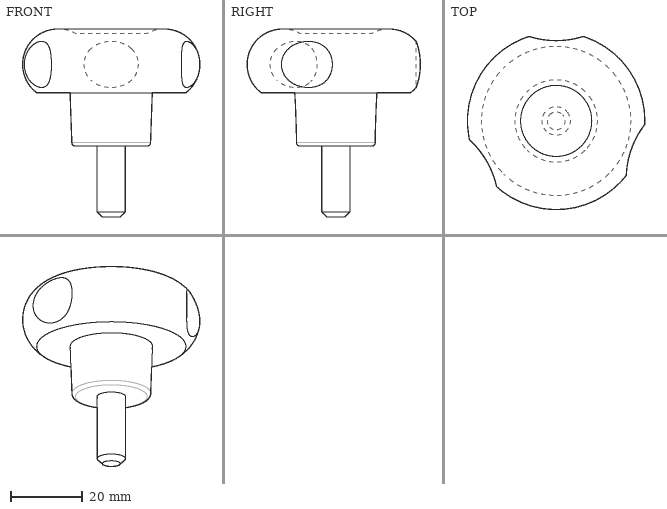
import cadquery as cq
import math

TOTAL_HEIGHT = 53
STUD_LENGTH = 20.0
HUB_LENGTH = 15.0

KNOB_RADIUS = 25.0
RIM_RADIUS = 10.0
DIMPLE_RADIUS = 10.0

HUB_TOP_RADIUS = 11.6
HUB_DRAFT_ANGLE = 2
HUB_FILLET = 1.0

STUD_DIAMETER = 8.0
STUD_CHAMFER = 1.5

SCALLOP_RADIUS = 25.0
SCALLOP_BOTTOM_RADIUS = 22.65
SCALLOP_ANGLES = (-20, 90, 210)

KNOB_BOTTOM_Z = STUD_LENGTH + HUB_LENGTH
RIM_CENTER_RADIUS = KNOB_RADIUS - RIM_RADIUS
RIM_CENTER_Z = TOTAL_HEIGHT - RIM_RADIUS


def rim_rise(radius):
    """Distance of the rim section above or below its centre at a radius from the axis."""
    return math.sqrt(RIM_RADIUS**2 - (radius - RIM_CENTER_RADIUS) ** 2)


def make_knob():
    dimple_z = RIM_CENTER_Z + rim_rise(DIMPLE_RADIUS)
    drop = RIM_CENTER_Z - KNOB_BOTTOM_Z
    bottom_radius = RIM_CENTER_RADIUS + math.sqrt(RIM_RADIUS**2 - drop**2)
    profile = (
        cq.Workplane("XZ")
        .moveTo(0, KNOB_BOTTOM_Z)
        .lineTo(bottom_radius, KNOB_BOTTOM_Z)
        .threePointArc((KNOB_RADIUS, RIM_CENTER_Z), (DIMPLE_RADIUS, dimple_z))
        .lineTo(0, dimple_z)
        .close()
    )
    return profile.revolve(360, (0, 0, 0), (0, 1, 0))


def make_hub():
    hub = (
        cq.Workplane("XY", origin=(0, 0, KNOB_BOTTOM_Z))
        .circle(HUB_TOP_RADIUS)
        .extrude(-HUB_LENGTH, taper=HUB_DRAFT_ANGLE)
    )
    return hub.faces("<Z").edges().fillet(HUB_FILLET)


def make_stud():
    stud = cq.Workplane("XY").circle(STUD_DIAMETER / 2).extrude(STUD_LENGTH)
    return stud.faces("<Z").edges().chamfer(STUD_CHAMFER)


def make_scallop(angle):
    """Upright cylinder whose nearest line to the axis lies at SCALLOP_BOTTOM_RADIUS."""
    distance = SCALLOP_BOTTOM_RADIUS + SCALLOP_RADIUS
    x = distance * math.cos(math.radians(angle))
    y = distance * math.sin(math.radians(angle))
    return cq.Workplane("XY").center(x, y).circle(SCALLOP_RADIUS).extrude(TOTAL_HEIGHT)


knob = make_knob()
for scallop_angle in SCALLOP_ANGLES:
    knob = knob.cut(make_scallop(scallop_angle))

result = knob.union(make_hub()).union(make_stud())